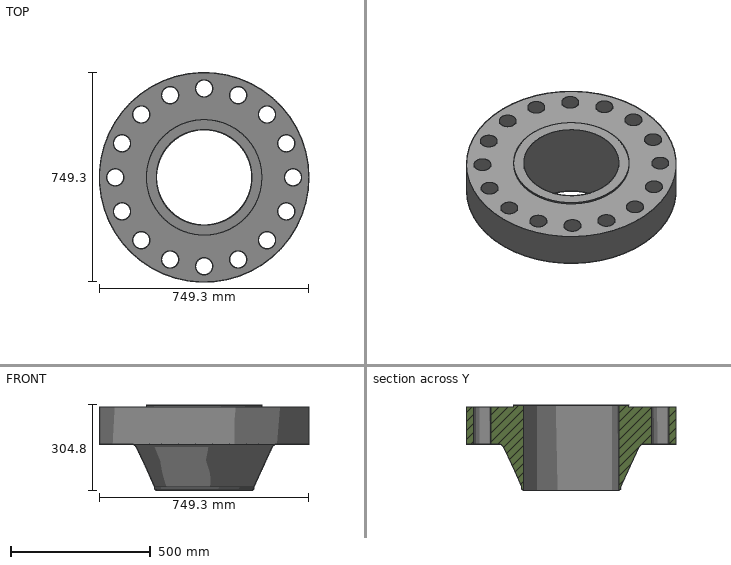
import cadquery as cq
import math


flange_diameter = 749.3
flange_thickness = 133.35

face_diameter = 412.75
face_height = 6.35

overall_height = 304.8
hub_base_diameter = 495.3
hub_fillet_radius = 19.05
pipe_diameter = 355.6
pipe_wall = 7.92
pipe_length = 13.0

bevel_angle = 37.5
root_land = 1.6

bolt_count = 16
bolt_hole_diameter = 60.325
bolt_circle_diameter = 635.0

flange_top = overall_height - face_height
flange_bottom = flange_top - flange_thickness

flange_radius = flange_diameter / 2
face_radius = face_diameter / 2
hub_base_radius = hub_base_diameter / 2
pipe_radius = pipe_diameter / 2
bore_radius = pipe_radius - pipe_wall
land_radius = bore_radius + root_land
bevel_height = (pipe_radius - land_radius) * math.tan(math.radians(bevel_angle))


def make_body():
    """Revolve the outline of welding end, tapered hub, disc and raised face."""
    outline = (
        cq.Workplane("XZ")
        .moveTo(bore_radius, 0)
        .lineTo(land_radius, 0)
        .lineTo(pipe_radius, bevel_height)
        .lineTo(pipe_radius, pipe_length)
        .lineTo(hub_base_radius, flange_bottom)
        .lineTo(flange_radius, flange_bottom)
        .lineTo(flange_radius, flange_top)
        .lineTo(face_radius, flange_top)
        .lineTo(face_radius, overall_height)
        .lineTo(bore_radius, overall_height)
        .close()
    )
    return outline.revolve(360, (0, 0), (0, 1))


def round_hub_root(body):
    """Fillet the circle where the tapered hub meets the underside of the disc."""
    disc_underside = body.faces("%PLANE").faces("<Z[-2]")
    hub_root = disc_underside.edges(cq.selectors.RadiusNthSelector(0))
    return hub_root.fillet(hub_fillet_radius)


def cut_bolt_holes(body):
    """Drill the ring of bolt holes through the disc, the first one on +X."""
    holes = (
        cq.Workplane("XY", origin=(0, 0, flange_bottom))
        .polarArray(bolt_circle_diameter / 2, 0, 360, bolt_count)
        .circle(bolt_hole_diameter / 2)
        .extrude(flange_thickness)
    )
    return body.cut(holes)


body = make_body()
body = round_hub_root(body)
result = cut_bolt_holes(body)